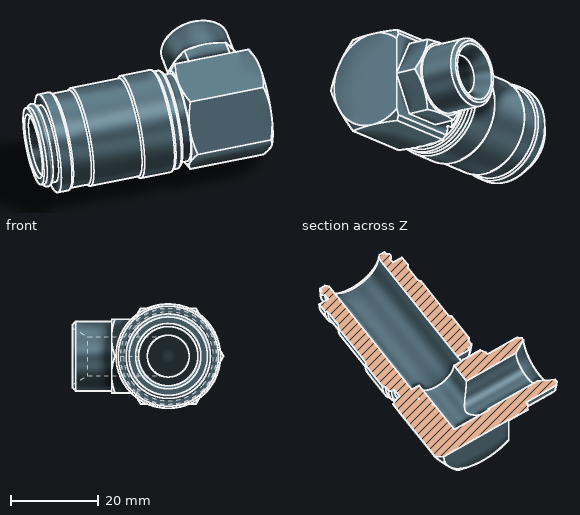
import cadquery as cq
import math


body_across_flats = 22.0
body_half_length = 9.7
body_flat_x = -7.0
hex_chamfer_angle = 30.0

port_across_flats = 17.0
port_collar_x = -13.0
port_end_x = -22.0
spigot_radius = 8.0
spigot_chamfer = 0.8
port_bore_radius = 4.5
port_cone_mouth_radius = 6.5
port_cone_half_angle = 30.0

flat_end_y = -11.2
sleeve_start_y = -11.8
collar_start_y = -13.55
collar_end_y = -21.65
groove_start_y = -33.1
groove_end_y = -38.35
sleeve_end_y = -40.85
nose_end_y = -44.3
neck_radius = 10.25
sleeve_radius = 11.5
collar_radius = 12.0
groove_radius = 11.05
nose_radius = 9.0
edge_bevel = 0.5

ring_section_radius = 0.7
ring_center_y = -42.85

cavity_radius = 6.8
cavity_mouth_radius = 7.5
cavity_end_y = -body_half_length
inner_bore_radius = 4.8
inner_bore_end_y = 4.8


def tan_deg(angle):
    return math.tan(math.radians(angle))


def revolve_about_y(points):
    """Turn a closed (radius, y) outline about the Y axis."""
    return cq.Workplane("XY").polyline(points).close().revolve(360, (0, 0), (0, 1))


def revolve_about_x(points):
    """Turn a closed (x, radius) outline about the X axis."""
    return cq.Workplane("XY").polyline(points).close().revolve(360, (0, 0), (1, 0))


def corner_radius(across_flats):
    return across_flats / math.sqrt(3)


def corner_chamfer_length(across_flats):
    """Axial length of the conical chamfer, measured at a hexagon corner."""
    return (corner_radius(across_flats) - across_flats / 2) * tan_deg(hex_chamfer_angle)


def make_body():
    """Hexagonal bar with the corners chamfered at both ends."""
    outer = corner_radius(body_across_flats)
    flat = body_across_flats / 2
    shoulder = body_half_length - corner_chamfer_length(body_across_flats)
    bar = (
        cq.Workplane("XZ", origin=(0, body_half_length, 0))
        .polygon(6, 2 * outer)
        .extrude(2 * body_half_length)
    )
    envelope = revolve_about_y([
        (0, -body_half_length),
        (flat, -body_half_length),
        (outer, -shoulder),
        (outer, shoulder),
        (flat, body_half_length),
        (0, body_half_length),
    ])
    return bar.intersect(envelope)


def make_neck():
    """Round stem from the middle of the body to the sleeve."""
    return cq.Workplane("XZ").circle(neck_radius).extrude(-sleeve_start_y)


def cut_port_flat(solid):
    """Remove everything beyond the port-side flat, as far as the end of the flat."""
    removed_depth = corner_radius(body_across_flats) + body_flat_x
    cutter = cq.Workplane("XY").box(
        removed_depth,
        body_half_length - flat_end_y,
        body_across_flats,
        centered=(True, False, True),
    )
    return solid.cut(cutter.translate((body_flat_x - removed_depth / 2, flat_end_y, 0)))


def make_port():
    """Hexagonal collar with a chamfered front, and a chamfered spigot."""
    outer = corner_radius(port_across_flats)
    flat = port_across_flats / 2
    chamfer = corner_chamfer_length(port_across_flats)
    collar = (
        cq.Workplane("YZ", origin=(port_collar_x, 0, 0))
        .polygon(6, 2 * outer)
        .extrude(body_flat_x - port_collar_x)
    )
    envelope = revolve_about_x([
        (port_collar_x, 0),
        (port_collar_x, flat),
        (port_collar_x + chamfer, outer),
        (body_flat_x, outer),
        (body_flat_x, 0),
    ])
    spigot = (
        cq.Workplane("YZ", origin=(port_end_x, 0, 0))
        .circle(spigot_radius)
        .extrude(-port_end_x)
        .faces("<X")
        .chamfer(spigot_chamfer)
    )
    return collar.intersect(envelope).union(spigot)


def make_sleeve():
    """Turned sleeve with a raised collar, a shallow groove and a stepped nose."""
    return revolve_about_y([
        (0, sleeve_start_y),
        (sleeve_radius - edge_bevel, sleeve_start_y),
        (sleeve_radius, sleeve_start_y - edge_bevel),
        (sleeve_radius, collar_start_y),
        (collar_radius, collar_start_y - edge_bevel),
        (collar_radius, collar_end_y + edge_bevel),
        (sleeve_radius, collar_end_y),
        (sleeve_radius, groove_start_y),
        (groove_radius, groove_start_y - edge_bevel),
        (groove_radius, groove_end_y + edge_bevel),
        (sleeve_radius, groove_end_y),
        (sleeve_radius, sleeve_end_y),
        (nose_radius, sleeve_end_y),
        (nose_radius, nose_end_y),
        (0, nose_end_y),
    ])


def make_ring():
    """O-ring whose section is centred on the nose surface."""
    return (
        cq.Workplane("XY")
        .center(nose_radius, ring_center_y)
        .circle(ring_section_radius)
        .revolve(360, (-nose_radius, 0), (-nose_radius, 1))
    )


def make_coupling_bore():
    mouth_bevel = cavity_mouth_radius - cavity_radius
    return revolve_about_y([
        (0, nose_end_y),
        (cavity_mouth_radius, nose_end_y),
        (cavity_radius, nose_end_y + mouth_bevel),
        (cavity_radius, cavity_end_y),
        (inner_bore_radius, cavity_end_y),
        (inner_bore_radius, inner_bore_end_y),
        (0, inner_bore_end_y),
    ])


def make_port_bore():
    """Conical seat narrowing to a straight bore that meets the coupling bore."""
    cone_length = (port_cone_mouth_radius - port_bore_radius) / tan_deg(port_cone_half_angle)
    return revolve_about_x([
        (port_end_x, 0),
        (port_end_x, port_cone_mouth_radius),
        (port_end_x + cone_length, port_bore_radius),
        (0, port_bore_radius),
        (0, 0),
    ])


elbow = cut_port_flat(make_body().union(make_neck()))
outside = elbow.union(make_sleeve()).union(make_ring()).union(make_port())
result = outside.cut(make_coupling_bore()).cut(make_port_bore())